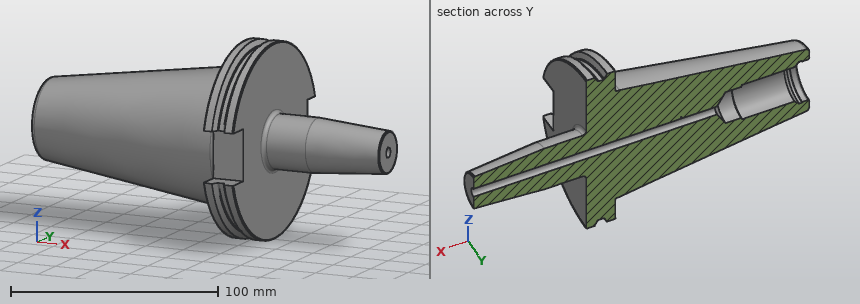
import cadquery as cq
import math

total_length = 181.6
gauge_x = 101.7
collar_start = 102.8
flange_start = 104.8
flange_end = 120.8
nose_taper_start = 143.5

taper_per_length = 7 / 24
gauge_radius = 70.0 / 2
collar_radius = gauge_radius + (collar_start - gauge_x) * taper_per_length / 2
collar_root_fillet = 0.7
tail_radius = gauge_radius - gauge_x * taper_per_length / 2
tail_fillet = 2.4

flange_radius = 97.2 / 2
flange_chamfer = 0.5
groove_center = 112.8
groove_mouth_width = 6.7
groove_depth = 3.0
groove_flank_angle = 30.0
groove_floor_fillet = 0.5

slot_width = 25.8
front_slot_floor = 35.2
back_slot_floor = 37.6

nose_radius = 27.0 / 2
nose_tip_radius = 21.0 / 2
nose_root_fillet = 2.0
tip_chamfer = 0.5

entry_radius = 26.2 / 2
relief_radius = 27.0 / 2
thread_radius = 22.2 / 2
drill_radius = 20.0 / 2
through_radius = 4.9 / 2
entry_depth = 4.0
relief_end = 5.6
mouth_fillet = 1.3
thread_depth = 36.3
drill_depth = 45.4
drill_point_angle = 118.0


def revolve_profile(points):
    """Solid of revolution about X from (x, radius) points, closed along the axis."""
    outline = [(points[0][0], 0)] + points + [(points[-1][0], 0)]
    return cq.Workplane("XY").polyline(outline).close().revolve(360, (0, 0, 0), (1, 0, 0))


def make_shank():
    shank = revolve_profile([
        (0, tail_radius),
        (collar_start, collar_radius),
        (flange_start, collar_radius),
    ])
    return shank.faces("<X").edges().fillet(tail_fillet)


def make_flange():
    flange = (
        cq.Workplane("YZ", origin=(flange_start, 0, 0))
        .circle(flange_radius)
        .extrude(flange_end - flange_start)
    )
    return flange.faces("<X or >X").edges().chamfer(flange_chamfer)


def cut_groove(flange):
    floor_radius = flange_radius - groove_depth
    half_mouth = groove_mouth_width / 2
    half_floor = half_mouth - groove_depth * math.tan(math.radians(groove_flank_angle))
    ring = (
        cq.Workplane("XY")
        .polyline([
            (groove_center - half_mouth, flange_radius),
            (groove_center - half_floor, floor_radius),
            (groove_center + half_floor, floor_radius),
            (groove_center + half_mouth, flange_radius),
        ])
        .close()
        .revolve(360, (0, 0, 0), (1, 0, 0))
    )
    floor_edges = cq.selectors.RadiusNthSelector(0)
    return flange.cut(ring.edges(floor_edges).fillet(groove_floor_fillet))


def make_slot(side, floor):
    """Drive slot through the flange; side is +1 for +Y and -1 for -Y."""
    depth = flange_radius - floor
    return cq.Workplane("XY").box(flange_end - flange_start, depth, slot_width).translate(
        ((flange_start + flange_end) / 2, side * (floor + depth / 2), 0)
    )


def make_nose():
    root_x = flange_end + nose_root_fillet
    root_radius = nose_radius + nose_root_fillet
    arc_offset = nose_root_fillet * math.sqrt(0.5)
    nose = (
        cq.Workplane("XY")
        .moveTo(flange_end, 0)
        .lineTo(flange_end, root_radius)
        .threePointArc((root_x - arc_offset, root_radius - arc_offset), (root_x, nose_radius))
        .lineTo(nose_taper_start, nose_radius)
        .lineTo(total_length, nose_tip_radius)
        .lineTo(total_length, 0)
        .close()
        .revolve(360, (0, 0, 0), (1, 0, 0))
    )
    return nose.faces(">X").edges().chamfer(tip_chamfer)


def make_bore():
    point_slope = 1 / math.tan(math.radians(drill_point_angle / 2))
    thread_point_length = (thread_radius - drill_radius) * point_slope
    drill_point_length = (drill_radius - through_radius) * point_slope
    thread_start = relief_end + relief_radius - thread_radius
    return revolve_profile([
        (0, entry_radius),
        (entry_depth, entry_radius),
        (entry_depth, relief_radius),
        (relief_end, relief_radius),
        (thread_start, thread_radius),
        (thread_depth, thread_radius),
        (thread_depth + thread_point_length, drill_radius),
        (drill_depth, drill_radius),
        (drill_depth + drill_point_length, through_radius),
        (total_length, through_radius),
    ])


def round_collar_root(body):
    """Fillet the corner between the shank collar and the flange face."""
    tolerance = 0.02
    flange_face_plane = cq.selectors.BoxSelector(
        (flange_start - tolerance, -flange_radius, -flange_radius),
        (flange_start + tolerance, flange_radius, flange_radius),
    )
    smallest_circle = cq.selectors.RadiusNthSelector(0)
    return body.edges(flange_face_plane).edges(smallest_circle).fillet(collar_root_fillet)


def round_bore_mouth(body):
    smallest_circle = cq.selectors.RadiusNthSelector(0)
    return body.faces("<X").edges(smallest_circle).fillet(mouth_fillet)


flange = cut_groove(make_flange())
flange = flange.cut(make_slot(-1, front_slot_floor)).cut(make_slot(1, back_slot_floor))
body = make_shank().union(flange).union(make_nose())
body = round_collar_root(body).cut(make_bore())
result = round_bore_mouth(body)